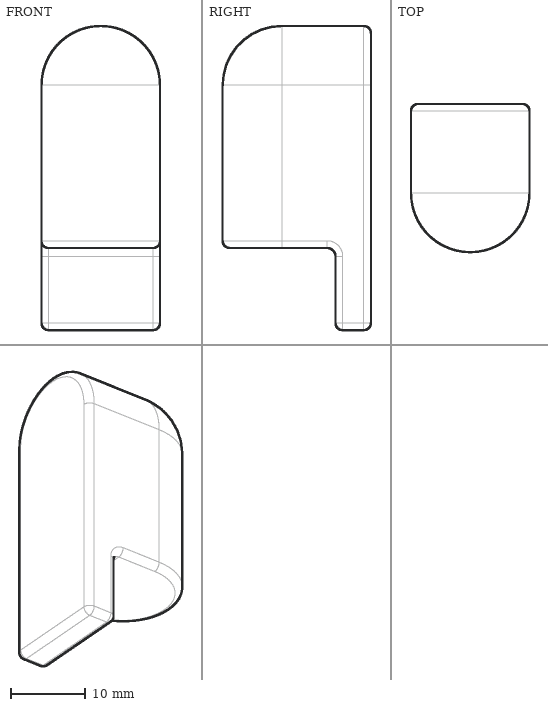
import cadquery as cq

width = 16.0
depth = 20.0
height = 41.0
foot_thickness = 4.8
foot_height = 11.05
edge_radius = 1.0
inner_corner_radius = 1.1

round_radius = width / 2
dome_y = round_radius - depth
dome_z = height - round_radius
shaft_height = dome_z - foot_height


def rounded_body():
    """Block with an arched top, a half-round front and a spherical corner."""
    block = (
        cq.Workplane("XY", origin=(0, 0, foot_height))
        .box(width, -dome_y, shaft_height, centered=(True, False, False))
        .translate((0, dome_y, 0))
    )
    front = (
        cq.Workplane("XY", origin=(0, dome_y, foot_height))
        .circle(round_radius)
        .extrude(shaft_height)
    )
    arch = (
        cq.Workplane("XZ", origin=(0, 0, dome_z))
        .circle(round_radius)
        .extrude(-dome_y)
    )
    dome = cq.Workplane("XY", origin=(0, dome_y, dome_z)).sphere(round_radius)
    return block.union(front).union(arch).union(dome)


def foot():
    """Thin plate continuing the back of the body downward."""
    return (
        cq.Workplane("XY")
        .box(width, foot_thickness, dome_z, centered=(True, False, False))
        .translate((0, -foot_thickness, 0))
    )


solid = rounded_body().union(foot()).clean()

inner_corner = cq.selectors.NearestToPointSelector((0, -foot_thickness, foot_height))
solid = solid.edges(inner_corner).fillet(inner_corner_radius)

below_underside = cq.selectors.BoxSelector(
    (-width, -2 * depth, -edge_radius),
    (width, edge_radius, foot_height + edge_radius),
)
lower_outline = solid.edges("not |X").edges(below_underside)
back_rim = solid.faces(">Y").edges()
foot_rim = solid.faces("<Z").edges()
result = lower_outline.add(back_rim).add(foot_rim).fillet(edge_radius)